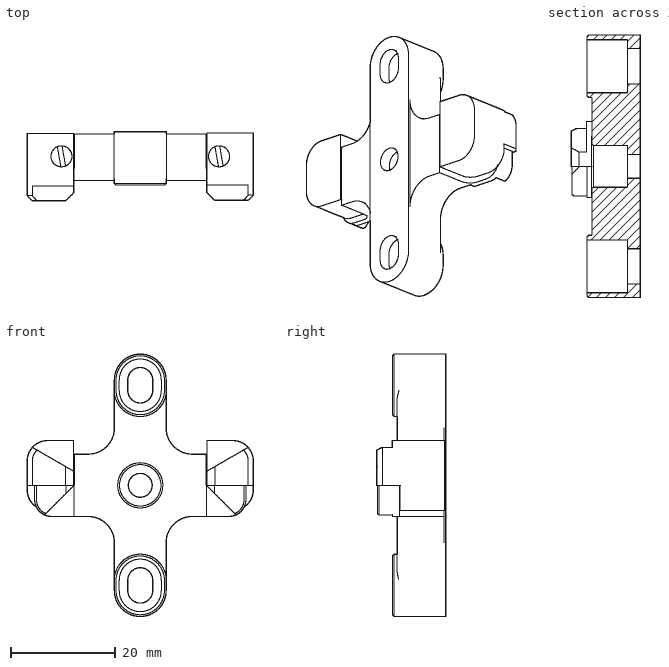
import cadquery as cq
import math


FRAME_HEIGHT = 50.5
BAR_HALF_WIDTH = 5.0
PLATE_DEPTH = 9.4
WEB_BACK = 0.4
WEB_HALF_HEIGHT = 6.0
WEB_HALF_LENGTH = 12.75
EDGE_FILLET = 0.35
EDGE_CHAMFER = 0.35
FLOOR_THICKNESS = 2.5

BOSS_DEPTH = 10.3
OVAL_STRAIGHT = 2.0
OVAL_BORE_RADIUS = 4.05
OVAL_SLOT_RADIUS = 2.35
BOSS_Z = FRAME_HEIGHT / 2 - BAR_HALF_WIDTH - OVAL_STRAIGHT / 2

CENTRE_BORE_RADIUS = 4.0
CENTRE_HOLE_RADIUS = 2.25
MOUTH_TAPER = 45.0

LIP_OUTER_X = 20.3
LIP_BACK = 8.9
LIP_FRONT = 13.2
LIP_STEP = 10.3
LIP_CORNER_RADIUS = 3.25
LIP_CHAMFER = 0.35
LIP_ROOT_RADIUS = 2.0
LIP_VEE_ANGLE = 45.0

JAW_INNER_X = 12.85
JAW_OUTER_X = 21.75
JAW_TOP = 8.65
JAW_BOTTOM = -4.85
JAW_BACK = 0.35
JAW_FRONT = 13.35
JAW_STEP = 10.4
JAW_CORNER_RADIUS = 4.0
JAW_CHAMFER = 1.0
JAW_VEE_ANGLE = 30.0
JAW_VEE_Z = 2.75
RIGHT_JAW_OFFSET = 0.1
TIP_CHAMFER = 1.5

SCREW_X = 15.15
SCREW_DEPTH = 4.75
SCREW_RADIUS = 2.0
SCREW_LENGTH = 8.1
SLOT_WIDTH = 0.9
SLOT_CUT = 1.2
SLOT_TILT = 10.0


def sketch_at(depth):
    """Workplane facing -Y, at a depth in front of the frame back."""
    return cq.Workplane("XZ", origin=(0, -depth, 0))


def block(x_min, x_max, back, front, z_min, z_max):
    """Rectangular block given by its limits, with Y as depths."""
    size = (x_max - x_min, front - back, z_max - z_min)
    corner = (x_min, -front, z_min)
    return cq.Workplane("XY").box(*size, centered=False).translate(corner)


def oval(z, radius, back, front):
    """Upright oval prism centred at height z."""
    length = OVAL_STRAIGHT + 2 * radius
    return sketch_at(back).center(0, z).slot2D(length, 2 * radius, 90).extrude(front - back)


def cylinder(radius, back, front):
    """Cylinder about the frame's central axis."""
    return sketch_at(back).circle(radius).extrude(front - back)


def mirrored(shape):
    """Copy of a left-hand shape for the right-hand side."""
    return shape.mirror("YZ")


def vee_waste(start_x, start_z, angle, direction, step):
    """Wedge outside a vee edge that runs outward from the left jaw's inner face.

    direction is 1 for an edge that rises outward and -1 for one that falls.
    """
    reach = JAW_OUTER_X
    end_x = start_x - reach
    end_z = start_z + direction * reach * math.tan(math.radians(angle))
    outline = [(start_x, start_z), (end_x, end_z), (start_x, end_z)]
    return sketch_at(step).polyline(outline).close().extrude(JAW_FRONT)


def make_web():
    """Cross web with concave corners running into the upright bar."""
    arc_x = 2 * BAR_HALF_WIDTH
    arc_z = WEB_HALF_HEIGHT + BAR_HALF_WIDTH
    web = block(-WEB_HALF_LENGTH, WEB_HALF_LENGTH, WEB_BACK, PLATE_DEPTH, -arc_z, arc_z)
    window = (
        sketch_at(WEB_BACK)
        .moveTo(BAR_HALF_WIDTH, arc_z)
        .radiusArc((arc_x, WEB_HALF_HEIGHT), -BAR_HALF_WIDTH)
        .lineTo(WEB_HALF_LENGTH, WEB_HALF_HEIGHT)
        .lineTo(WEB_HALF_LENGTH, arc_z)
        .close()
        .extrude(PLATE_DEPTH - WEB_BACK)
    )
    for corner in (window, mirrored(window)):
        web = web.cut(corner).cut(corner.mirror("XY"))
    return web


def make_lip():
    """Left fixed jaw: a lip in front of the web end, with the fillet at its root."""
    lip = block(-LIP_OUTER_X, -WEB_HALF_LENGTH, LIP_BACK, LIP_FRONT, -WEB_HALF_HEIGHT, 0)
    lip = lip.edges("|Y and <X and <Z").fillet(LIP_CORNER_RADIUS)
    lip = lip.faces("<Y").edges("not (>X or >Z)").chamfer(LIP_CHAMFER)
    lip = lip.faces("<Y").edges(">X").chamfer(TIP_CHAMFER)
    lip = lip.cut(vee_waste(-WEB_HALF_LENGTH, 0, LIP_VEE_ANGLE, -1, LIP_STEP))

    root_x = -WEB_HALF_LENGTH - LIP_ROOT_RADIUS
    root_depth = LIP_BACK - LIP_ROOT_RADIUS
    root = block(root_x, -WEB_HALF_LENGTH, root_depth, LIP_BACK, -WEB_HALF_HEIGHT, 0)
    hollow = (
        cq.Workplane("XY", origin=(root_x, -root_depth, -WEB_HALF_HEIGHT))
        .circle(LIP_ROOT_RADIUS)
        .extrude(WEB_HALF_HEIGHT)
    )
    return lip.union(root.cut(hollow))


def make_frame():
    """Cross-shaped frame with two oval bosses and two fixed jaws."""
    bar = sketch_at(0).slot2D(FRAME_HEIGHT, 2 * BAR_HALF_WIDTH, 90).extrude(PLATE_DEPTH)
    frame = bar.union(make_web())
    frame = frame.faces("<Y").edges("not (<X or >X)").fillet(EDGE_FILLET)

    for z in (-BOSS_Z, BOSS_Z):
        boss = oval(z, BAR_HALF_WIDTH, 0, BOSS_DEPTH).faces("<Y").edges().chamfer(EDGE_CHAMFER)
        frame = frame.union(boss)
        frame = frame.cut(oval(z, OVAL_BORE_RADIUS, FLOOR_THICKNESS, BOSS_DEPTH))
        frame = frame.cut(oval(z, OVAL_SLOT_RADIUS, 0, FLOOR_THICKNESS))

    centre_bore = cylinder(CENTRE_BORE_RADIUS, FLOOR_THICKNESS, PLATE_DEPTH)
    bore_mouth = (
        sketch_at(PLATE_DEPTH)
        .circle(CENTRE_BORE_RADIUS + EDGE_CHAMFER)
        .extrude(-EDGE_CHAMFER, taper=MOUTH_TAPER)
    )
    frame = frame.cut(centre_bore).cut(bore_mouth)
    frame = frame.cut(cylinder(CENTRE_HOLE_RADIUS, 0, FLOOR_THICKNESS))

    lip = make_lip()
    return frame.union(lip).union(mirrored(lip))


def make_screw_blank(x):
    """Plain screw cylinder, flush with the jaw top; also cuts the blind hole it fills."""
    return (
        cq.Workplane("XY", origin=(x, -SCREW_DEPTH, JAW_TOP - SCREW_LENGTH))
        .circle(SCREW_RADIUS)
        .extrude(SCREW_LENGTH)
    )


def make_screw(x):
    """Screw with a tilted driver slot running right across its head."""
    slot_length = 3 * SCREW_RADIUS
    slot = (
        cq.Workplane("XY", origin=(x, -SCREW_DEPTH, JAW_TOP - SLOT_CUT))
        .transformed(rotate=(0, 0, SLOT_TILT))
        .rect(SLOT_WIDTH, slot_length)
        .extrude(SLOT_CUT)
    )
    return make_screw_blank(x).cut(slot)


def make_jaw():
    """Left sliding jaw without its screw hole."""
    upper = block(-JAW_OUTER_X, -JAW_INNER_X, JAW_BACK, JAW_FRONT, 0, JAW_TOP)
    upper = upper.edges("|Y and <X and >Z").fillet(JAW_CORNER_RADIUS)
    upper = upper.faces("<Y").edges("not (>X or <Z)").chamfer(JAW_CHAMFER)
    upper = upper.faces("<Y").edges(">X").chamfer(TIP_CHAMFER)
    upper = upper.cut(vee_waste(-JAW_INNER_X, JAW_VEE_Z, JAW_VEE_ANGLE, 1, JAW_STEP))

    lower = block(-JAW_OUTER_X, -JAW_INNER_X, JAW_BACK, LIP_BACK, JAW_BOTTOM, 0)
    lower = lower.edges("|Y and <X and <Z").fillet(JAW_CORNER_RADIUS)
    lower = lower.edges("|Z and >X and <Y").fillet(LIP_ROOT_RADIUS)
    return upper.union(lower)


frame = make_frame()

left_jaw = make_jaw()
right_jaw = mirrored(left_jaw).translate((0, RIGHT_JAW_OFFSET, 0))

jaws = []
screws = []
for jaw, screw_x in ((left_jaw, -SCREW_X), (right_jaw, SCREW_X)):
    jaws.append(jaw.cut(make_screw_blank(screw_x)))
    screws.append(make_screw(screw_x))

result = cq.Compound.makeCompound([body.val() for body in (frame, *jaws, *screws)])